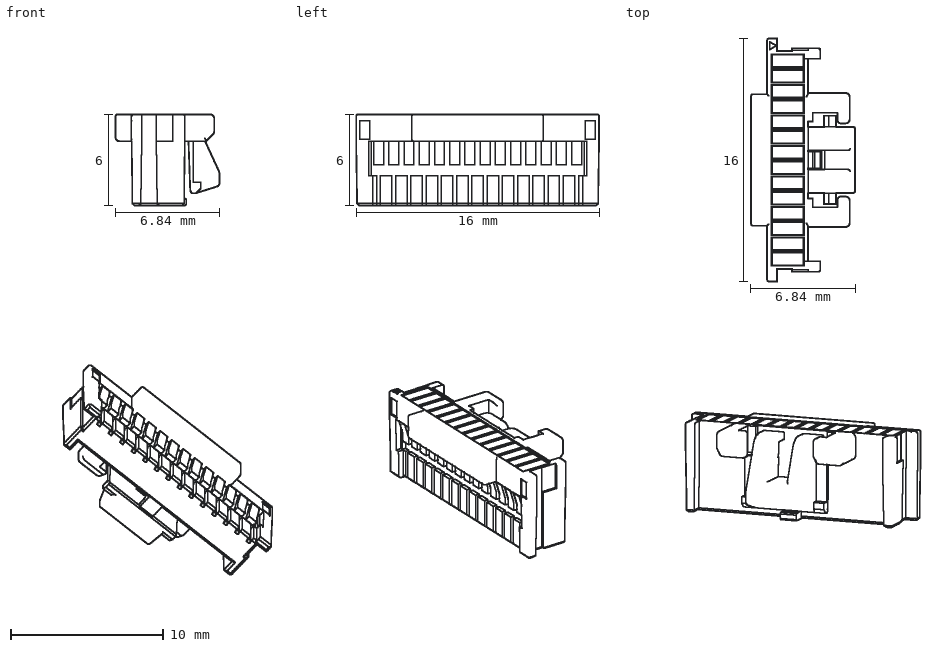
import cadquery as cq
import math


half_length = 7.98
height = 6.0
band_bottom = 4.23
draft_bottom = 1.0
draft_inset = 0.05
bottom_chamfer = 0.16
edge_round = 0.15

tab_back = 0.67
waist_y = 7.16
post_front = 1.63
post_back = 3.51
post_outer_y = 7.34
post_inner_y = 6.64
rear_face = 2.7

contact_count = 14
contact_span = 13.0
contact_pitch = contact_span / (contact_count - 1)
contact_ys = [(i - (contact_count - 1) / 2) * contact_pitch for i in range(contact_count)]

ledge_front = -1.05
ledge_half_width = 4.32
ledge_bottom_round = 0.25

comb_front = 0.41
comb_back = 0.69
comb_top = 1.98
comb_half_width = 6.89
comb_gap = 0.25

recess_half_width = 7.15
band_half_width = 6.99
band_slope_bottom = 2.73
band_slope_top_x = 0.29
terminal_width = 0.65
terminal_bottom = 2.68
terminal_knee = 3.22
terminal_front = 0.33
terminal_top_x = 0.03

cell_front = 0.29
cell_back = 2.44
cell_width = 0.9
cell_depth = 0.05

arm_outer_y = 4.4
arm_inner_y = 3.1
arm_back = 5.44
arm_round = 0.3
arm_chamfer = 0.55
hook_corner_round = 0.24
hook_front = 4.61
hook_tip_y = 2.4
arm_root_y = 2.52
arm_root_back = 3.01

lever_half_width = 2.17
lever_top = 5.71
lever_thickness = 0.48
lever_bend_start = 3.51
lever_bend_radius = 1.0
lever_slope = math.radians(24.8)
lever_tip_x = 5.79
lever_tip_bottom = 1.3
lever_tip_upper_round = 0.88
lever_tip_lower_round = 0.29
lever_inner_top_x = 3.73
lever_inner_bottom_x = 3.85
lever_inner_round = 0.16
lever_foot_front = 3.94
lever_foot_back = 4.23
lever_foot_z = 0.81
slot_half_width = 0.62
slot_floor = 2.93
slot_rim_round = 0.13
wing_half_width = 2.9
wing_back = 4.04
wing_foot_back = 4.53
wing_foot_top = 1.55
wing_foot_bottom = 1.12

ridge_half_width = 0.56
ridge_back = 3.6
ridge_height = 0.5
ridge_ramp_end = 3.01
ridge_lip_x = 3.15
ridge_ramp_foot = 0.56
ridge_ramp_top = 1.44
ridge_chamfer = 0.1

mark_depth = 0.1
end_mark_inner_y = 7.07
end_mark_outer_y = 7.72
end_mark_bottom = 4.37
end_mark_top = 5.58
pin_mark_base_x = 0.19
pin_mark_tip_x = 0.6
pin_mark_center_y = 7.5
pin_mark_half_width = 0.25

overshoot = 0.16
pick_margin = 0.08
root_x = rear_face - overshoot


def box(x0, x1, y0, y1, z0, z1):
    """Axis-aligned block between opposite corners."""
    return cq.Workplane("XY").box(x1 - x0, y1 - y0, z1 - z0, centered=False).translate((x0, y0, z0))


def profile(points, half_width, y_center=0.0):
    """Closed XZ polygon extruded equally to both sides of y_center."""
    sheet = cq.Workplane("XZ", origin=(0, y_center, 0)).polyline(points).close()
    return sheet.extrude(half_width, both=True)


def both_ends(solid):
    """A solid together with its mirror image in the symmetry plane."""
    return solid.union(solid.mirror("XZ"))


def housing_outline(inset):
    """Outline of the housing in plan, drawn in by the given inset."""
    half = [
        (inset, half_length - inset),
        (tab_back - inset, half_length - inset),
        (tab_back - inset, waist_y - inset),
        (post_front + inset, waist_y - inset),
        (post_front + inset, post_outer_y - inset),
        (post_back - inset, post_outer_y - inset),
        (post_back - inset, post_inner_y + inset),
        (rear_face - inset, post_inner_y + inset),
    ]
    return half + [(x, -y) for x, y in reversed(half)]


def housing_layer(z0, inset0, z1, inset1):
    """Slice of the housing between two levels, each with its own inset."""
    lower = cq.Workplane("XY", origin=(0, 0, z0)).polyline(housing_outline(inset0)).close()
    upper = lower.workplane(offset=z1 - z0).polyline(housing_outline(inset1)).close()
    return upper.loft(ruled=True, combine=True)


def around(x, y, z, half_y=pick_margin, half_z=pick_margin):
    """Selector for edges whose centres lie close to a point."""
    low = (x - pick_margin, y - half_y, z - half_z)
    high = (x + pick_margin, y + half_y, z + half_z)
    return cq.selectors.BoxSelector(low, high)


def make_housing():
    """Housing with its drafted walls, end posts and front ledge."""
    foot_inset = draft_inset + bottom_chamfer
    body = housing_layer(band_bottom, 0, height, 0)
    body = body.union(housing_layer(draft_bottom, draft_inset, band_bottom, 0))
    body = body.union(housing_layer(bottom_chamfer, draft_inset, draft_bottom, draft_inset))
    body = body.union(housing_layer(0, foot_inset, bottom_chamfer, draft_inset))

    set_back_y = post_outer_y - edge_round
    set_back = box(post_front, rear_face, set_back_y, post_outer_y, band_bottom, height)
    body = body.cut(both_ends(set_back))

    ledge = box(ledge_front, overshoot, -ledge_half_width, ledge_half_width, band_bottom, height)
    ledge = ledge.faces("<X").edges("<Z").fillet(ledge_bottom_round)
    body = body.union(ledge)
    return round_housing(body)


def round_housing(body):
    """Round the outer corners and the top rim of the housing."""
    mid_z = height / 2
    inner_half_z = mid_z - bottom_chamfer - pick_margin
    for x, y in ((0, half_length), (post_back, post_outer_y)):
        for corner_y in (-y, y):
            body = body.edges(around(x, corner_y, mid_z, half_z=inner_half_z)).fillet(edge_round)
    ledge_corners = around(ledge_front, 0, mid_z, half_y=half_length, half_z=mid_z)
    body = body.edges(ledge_corners).edges("|Z").fillet(edge_round)

    front_rim = cq.selectors.BoxSelector(
        (ledge_front - overshoot, -half_length - overshoot, band_bottom),
        (tab_back - pick_margin, half_length + overshoot, height + overshoot),
    )
    body = body.faces(">Z").edges(front_rim).fillet(edge_round)
    post_rim_x = (rear_face + post_back - edge_round) / 2
    for post_y in (-post_outer_y, post_outer_y):
        body = body.edges(around(post_rim_x, post_y, height)).fillet(edge_round)
    return body.edges(around(rear_face, 0, height)).fillet(edge_round)


def make_arm():
    """Guard arm on the +Y side with its inward hook."""
    arm = box(root_x, arm_back, arm_inner_y, arm_outer_y, band_bottom, height)
    arm = arm.union(box(hook_front, arm_back, hook_tip_y, arm_inner_y, band_bottom, height))
    arm = arm.faces(">X").edges("<Z").chamfer(arm_chamfer)
    hook_corner = around(hook_front, hook_tip_y, height / 2, half_z=height / 2)
    outer_edges = arm.faces(">X or >Y or <Y").edges("not(<X)")
    arm = outer_edges.edges(cq.selectors.InverseSelector(hook_corner)).fillet(arm_round)

    corner_x = hook_front + hook_corner_round
    corner_y = hook_tip_y + hook_corner_round
    corner = box(hook_front, corner_x, hook_tip_y, corner_y, band_bottom, height)
    corner_core = cq.Workplane("XY").center(corner_x, corner_y).circle(hook_corner_round).extrude(height)
    arm = arm.cut(corner.cut(corner_core))

    root = box(root_x, arm_root_back, arm_root_y, arm_inner_y, band_bottom, height)
    wall = box(root_x, rear_face, 0, arm_inner_y, band_bottom, height)
    return arm.union(root).union(wall)


def make_lever():
    """Latch lever: a flat root, a round bend and a wedge that hangs down behind the housing."""
    bend_end_x = lever_bend_start + lever_bend_radius * math.cos(lever_slope)
    bend_end_z = lever_top - lever_bend_radius * (1 - math.sin(lever_slope))
    bend_mid_angle = (math.pi / 2 + lever_slope) / 2
    bend_mid = (
        lever_bend_start + lever_bend_radius * math.cos(bend_mid_angle),
        lever_top - lever_bend_radius * (1 - math.sin(bend_mid_angle)),
    )
    tip_top_z = bend_end_z - (lever_tip_x - bend_end_x) / math.tan(lever_slope)
    underside = lever_top - lever_thickness
    throat_x = lever_inner_top_x - lever_inner_round
    throat_round = lever_inner_round * math.sin(math.pi / 4)
    outline = (
        cq.Workplane("XZ")
        .moveTo(root_x, lever_top)
        .lineTo(lever_bend_start, lever_top)
        .threePointArc(bend_mid, (bend_end_x, bend_end_z))
        .lineTo(lever_tip_x, tip_top_z)
        .lineTo(lever_tip_x, lever_tip_bottom)
        .lineTo(lever_foot_back, lever_foot_z)
        .lineTo(lever_foot_front, lever_foot_z)
        .lineTo(lever_inner_bottom_x, draft_bottom)
        .lineTo(lever_inner_top_x, underside - lever_inner_round)
        .threePointArc(
            (throat_x + throat_round, underside - lever_inner_round + throat_round),
            (throat_x, underside),
        )
        .lineTo(root_x, underside)
        .close()
    )
    lever = outline.extrude(lever_half_width, both=True)
    lower_tip = cq.selectors.NearestToPointSelector((lever_tip_x, 0, lever_tip_bottom))
    lever = lever.edges("|Y").edges(lower_tip).fillet(lever_tip_lower_round)
    upper_tip = cq.selectors.NearestToPointSelector((lever_tip_x, 0, tip_top_z))
    lever = lever.edges("|Y").edges(upper_tip).fillet(lever_tip_upper_round)

    side_edges = lever.edges("(not |Y) and (>Y or <Y)")
    inner_side = cq.selectors.BoxSelector(
        (0, -half_length, 0), (lever_foot_front, half_length, underside + pick_margin)
    )
    lever = side_edges.edges(cq.selectors.InverseSelector(inner_side)).edges("not(<X)").fillet(edge_round)

    slot = box(rear_face, lever_tip_x, -slot_half_width, slot_half_width, slot_floor, height)
    lever = lever.cut(slot)
    slot_end_x = bend_end_x + (bend_end_z - slot_floor) * math.tan(lever_slope)
    rim_centers = (
        ((rear_face + lever_bend_start) / 2, lever_top),
        bend_mid,
        ((bend_end_x + slot_end_x) / 2, (bend_end_z + slot_floor) / 2),
        (slot_end_x, slot_floor),
    )
    rim = lever.newObject([])
    for x, z in rim_centers:
        rim = rim.add(lever.edges(around(x, 0, z, half_y=slot_half_width + pick_margin)))
    lever = rim.fillet(slot_rim_round)
    return lever.union(make_wing_bar().cut(slot))


def make_wing_bar():
    """L-shaped bar that forms the catch wings on both sides of the lever."""
    return profile(
        [
            (lever_inner_top_x, band_bottom),
            (wing_back, band_bottom),
            (wing_back, wing_foot_top),
            (wing_foot_back, wing_foot_top),
            (wing_foot_back, wing_foot_bottom),
            (lever_foot_back, lever_foot_z),
            (lever_foot_front, lever_foot_z),
            (lever_inner_bottom_x, draft_bottom),
        ],
        wing_half_width,
    )


def make_ridge():
    """Stop ridge at the foot of the rear wall, with a ramp rising to the wall."""
    return profile(
        [
            (root_x, 0),
            (ridge_back - ridge_chamfer, 0),
            (ridge_back, ridge_chamfer),
            (ridge_back, ridge_height - ridge_chamfer),
            (ridge_back - ridge_chamfer, ridge_height),
            (ridge_lip_x, ridge_height),
            (ridge_ramp_end, ridge_ramp_foot),
            (rear_face, ridge_ramp_top),
            (root_x, ridge_ramp_top),
        ],
        ridge_half_width,
    )


def comb_space(back, half_width, y_center=0.0):
    """Space in front of a comb surface whose bottom edge is chamfered."""
    outline = [
        (-overshoot, 0),
        (back + bottom_chamfer, 0),
        (back, bottom_chamfer),
        (back, comb_top),
        (-overshoot, comb_top),
    ]
    return profile(outline, half_width, y_center)


def cut_comb(body):
    """Recessed row of teeth on the lower front."""
    body = body.cut(comb_space(comb_front, comb_half_width))
    for y in contact_ys:
        body = body.cut(comb_space(comb_back, comb_gap / 2, y))
    return body


def cut_terminal_band(body):
    """Recessed band above the comb, with the terminals standing proud of its slope."""
    side_step = box(-overshoot, comb_front, band_half_width, recess_half_width, comb_top, band_bottom)
    body = body.cut(both_ends(side_step))
    band = [
        (-overshoot, comb_top),
        (comb_back, comb_top),
        (comb_back, band_slope_bottom),
        (band_slope_top_x, band_bottom),
        (-overshoot, band_bottom),
    ]
    body = body.cut(profile(band, band_half_width))
    terminal = [
        (terminal_front, terminal_bottom),
        (comb_back + overshoot, terminal_bottom),
        (comb_back + overshoot, band_bottom),
        (terminal_top_x, band_bottom),
        (terminal_front, terminal_knee),
    ]
    for y in contact_ys:
        body = body.union(profile(terminal, terminal_width / 2, y))
    return body


def cut_cells(body):
    """Shallow cells with sloped sides in the top face, one per contact."""
    length = cell_back - cell_front
    center_x = (cell_front + cell_back) / 2
    for y in contact_ys:
        rim = cq.Workplane("XY", origin=(center_x, y, height)).rect(length, cell_width)
        body = body.cut(rim.extrude(-cell_depth, taper=45))
    return body


def cut_marks(body):
    """Rectangular marks on the front of the tabs and a triangle beside the first contact."""
    end_mark = box(-overshoot, mark_depth, end_mark_inner_y, end_mark_outer_y, end_mark_bottom, end_mark_top)
    body = body.cut(both_ends(end_mark))
    triangle = cq.Workplane("XY", origin=(0, 0, height)).polyline(
        [
            (pin_mark_base_x, pin_mark_center_y - pin_mark_half_width),
            (pin_mark_tip_x, pin_mark_center_y),
            (pin_mark_base_x, pin_mark_center_y + pin_mark_half_width),
        ]
    )
    return body.cut(triangle.close().extrude(-mark_depth))


result = make_housing()
result = cut_marks(cut_cells(cut_terminal_band(cut_comb(result))))
result = result.union(both_ends(make_arm()))
result = result.union(make_lever()).union(make_ridge())